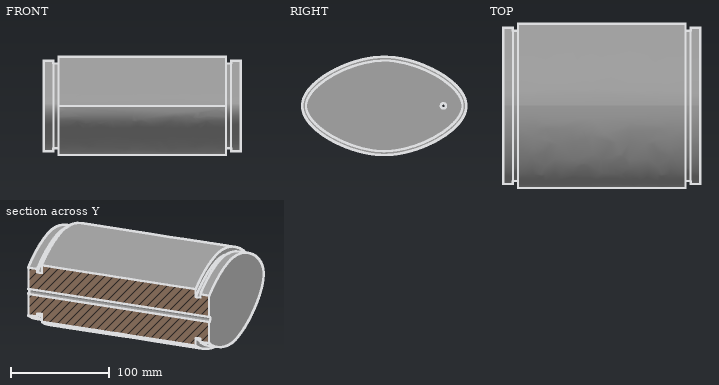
import cadquery as cq

TOTAL_LENGTH = 200.0
BODY_HALF_WIDTH = 500.0 / 6.0
BODY_HALF_HEIGHT = 50.0

TIP_HANDLE = 24.4
CROWN_HANDLE = 35.2

TIP_HANDLE_LOSS = 0.84
CROWN_HANDLE_LOSS = 0.25

FLANGE_LENGTH = 10.0
NECK_LENGTH = 5.0
FLANGE_INSET = 4.0
NECK_INSET = 7.0

HOLE_DIAMETER = 5.0
HOLE_Y = 60.0

BODY_LENGTH = TOTAL_LENGTH - 2 * (FLANGE_LENGTH + NECK_LENGTH)
NECK_SPAN = BODY_LENGTH + 2 * NECK_LENGTH


def lens_prism(start_x, length, inset=0.0):
    """Lens-shaped prism along +X, its outline lying about a constant inset inside the body's.

    The outline is four Bezier quarters, with smooth tips and crowns.
    """
    w = BODY_HALF_WIDTH - inset
    h = BODY_HALF_HEIGHT - inset
    tip = TIP_HANDLE - TIP_HANDLE_LOSS * inset
    crown = CROWN_HANDLE - CROWN_HANDLE_LOSS * inset
    return (
        cq.Workplane("YZ", origin=(start_x, 0, 0))
        .moveTo(w, 0)
        .bezier([(w, 0), (w, tip), (crown, h), (0, h)])
        .bezier([(0, h), (-crown, h), (-w, tip), (-w, 0)])
        .bezier([(-w, 0), (-w, -tip), (-crown, -h), (0, -h)])
        .bezier([(0, -h), (crown, -h), (w, -tip), (w, 0)])
        .close()
        .extrude(length)
    )


def body():
    return lens_prism(-BODY_LENGTH / 2, BODY_LENGTH)


def necks():
    """One core through the body forms the neck at both ends."""
    return lens_prism(-NECK_SPAN / 2, NECK_SPAN, NECK_INSET)


def end_flange(start_x):
    return lens_prism(start_x, FLANGE_LENGTH, FLANGE_INSET)


def through_hole():
    start = (-TOTAL_LENGTH / 2, HOLE_Y, 0)
    return cq.Workplane("YZ", origin=start).circle(HOLE_DIAMETER / 2).extrude(TOTAL_LENGTH)


result = body().union(necks())
for flange_start in (-TOTAL_LENGTH / 2, NECK_SPAN / 2):
    result = result.union(end_flange(flange_start))
result = result.cut(through_hole())